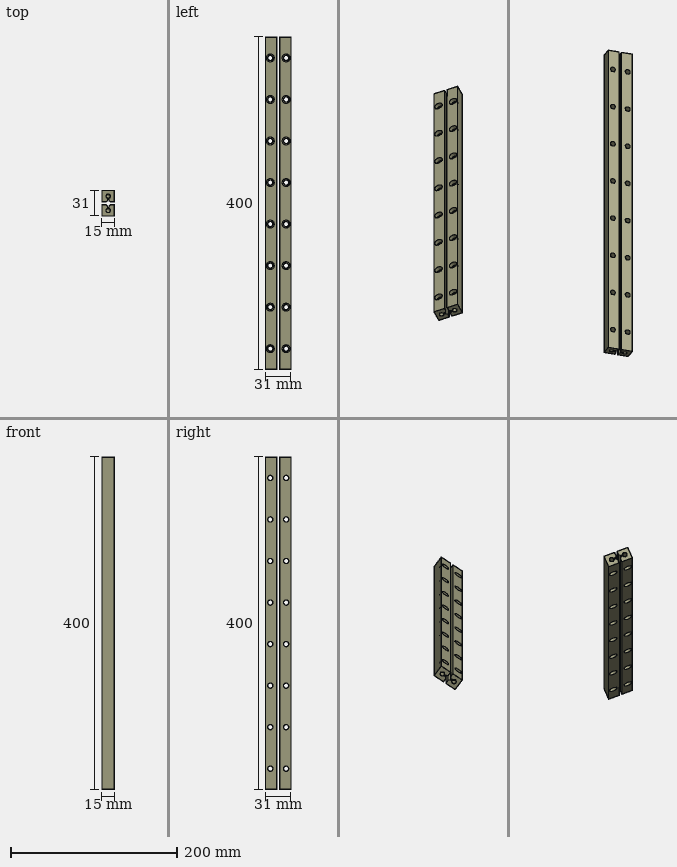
import cadquery as cq
import math

pair_depth = 31.0
rail_width = 15.0
rail_length = 400.0

rail_depth = 13.9
edge_chamfer = 0.1
outer_face = -pair_depth / 2
inner_face = outer_face + rail_depth
rail_center = outer_face + rail_depth / 2

groove_mouth = 5.2
relief_width = 1.4
v_depth = (groove_mouth - relief_width) / 2
relief_depth = 3.2

end_bore_diameter = 5.0
end_bore_depth = 12.0
end_countersink_diameter = 5.5
drill_tip_angle = 90.0

hole_pitch = 50.0
hole_count = int(rail_length / hole_pitch)
hole_inset = 6.0
hole_diameter = 6.0
counterbore_diameter = 9.5
counterbore_depth = 5.2


def make_blank():
    """Plain bar of the -Y rail with all its edges broken."""
    blank = cq.Workplane("XY").box(rail_width, rail_depth, rail_length)
    return blank.edges().chamfer(edge_chamfer).translate((0, rail_center, 0))


def make_groove():
    """Cutter for the running groove along the inner face."""
    half_mouth = groove_mouth / 2
    half_relief = relief_width / 2
    return (
        cq.Workplane("XY", origin=(0, inner_face, -rail_length / 2))
        .moveTo(-half_mouth, 0)
        .lineTo(-half_relief, -v_depth)
        .lineTo(-half_relief, -relief_depth)
        .lineTo(half_relief, -relief_depth)
        .lineTo(half_relief, -v_depth)
        .lineTo(half_mouth, 0)
        .close()
        .extrude(rail_length)
    )


def make_end_bore():
    """Cutter for the bore in the +Z end face."""
    bore_radius = end_bore_diameter / 2
    countersink_radius = end_countersink_diameter / 2
    end_face = rail_length / 2
    floor = end_face - end_bore_depth
    tip = floor - bore_radius / math.tan(math.radians(drill_tip_angle / 2))
    return (
        cq.Workplane("XZ", origin=(0, rail_center, 0))
        .moveTo(0, end_face)
        .lineTo(countersink_radius, end_face)
        .lineTo(bore_radius, end_face - (countersink_radius - bore_radius))
        .lineTo(bore_radius, floor)
        .lineTo(0, tip)
        .close()
        .revolve(360, (0, 0, 0), (0, 1, 0))
    )


def make_cross_bore(diameter, depth, z):
    """Cylinder running in +X from the -X face."""
    return (
        cq.Workplane("YZ", origin=(-rail_width / 2, outer_face + hole_inset, z))
        .circle(diameter / 2)
        .extrude(depth)
    )


def make_rail():
    """Rail on the -Y side, its running groove facing +Y."""
    rail = make_blank().cut(make_groove())
    end_bore = make_end_bore()
    rail = rail.cut(end_bore).cut(end_bore.mirror("XY"))
    for i in range(hole_count):
        z = (i - (hole_count - 1) / 2) * hole_pitch
        rail = rail.cut(make_cross_bore(hole_diameter, rail_width, z))
        rail = rail.cut(make_cross_bore(counterbore_diameter, counterbore_depth, z))
    return rail


rails = [make_rail()]
rails.append(rails[0].mirror("XZ"))

result = cq.Compound.makeCompound([rail.val() for rail in rails])